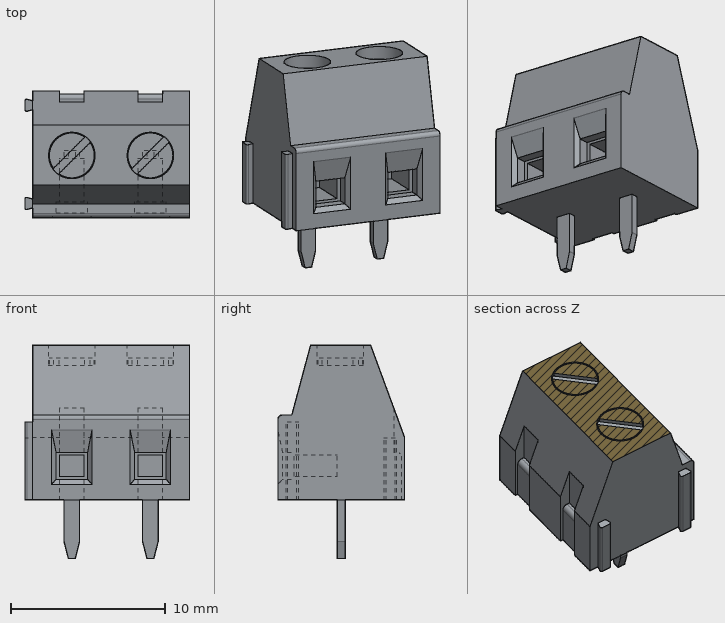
import cadquery as cq
import math


pole_count = 2
pole_pitch = 5.08
pole_centres = [(i + 0.5) * pole_pitch for i in range(pole_count)]

overall_height = 13.8
housing_width = pole_count * pole_pitch
housing_depth = 8.2
housing_height = 10.0
step_height = 5.49
step_depth = 0.9
step_radius = 0.29
roof_front = 2.11
roof_back = 6.0
back_wall_height = 4.05

rail_reach = 0.5
rail_root_width = 0.6
rail_outer_width = 0.87
rail_corner_radius = 0.11
rail_edge_distance = 0.92
rails = [
    (rail_edge_distance, 5.04),
    (housing_depth - rail_edge_distance, 4.0),
]

mouth_width = 2.61
mouth_bottom = 1.01
mouth_top = 4.51
mouth_depth = 0.3
throat_width = 2.04
throat_bottom = 1.32
throat_top = 3.08
throat_end = 1.04
cage_width = 1.57
cage_wall = 0.18
cage_bottom = throat_bottom + cage_wall
cage_top = throat_top - cage_wall

back_slot_depth = 0.7
clamp_recess = 0.2
clamp_radius = 0.33

screw_centre_y = 4.03
screw_hole_radius = 1.5
screw_clearance = 0.05
screw_recess = 0.83
screw_slot_width = 0.5
screw_slot_depth = 0.5
screw_slot_angle = 45

pin_length = overall_height - housing_height
pin_width = 1.02
pin_thickness = 0.52
pin_tip_width = 0.45
pin_tip_length = 1.1
pin_centre_y = housing_depth / 2
cage_end = pin_centre_y - pin_thickness / 2


def box(width, depth, height, x_centre, y_front, z_bottom):
    """Box centred in X on x_centre, starting at y_front and z_bottom."""
    corner = (x_centre - width / 2, y_front, z_bottom)
    return cq.Workplane("XY").box(width, depth, height, centered=False).translate(corner)


def make_housing():
    """Side outline with a rounded front step, run along the row of poles."""
    arc_middle = step_radius * (1 - math.sqrt(0.5))
    return (
        cq.Workplane("YZ")
        .lineTo(0, step_height - step_radius)
        .threePointArc((arc_middle, step_height - arc_middle), (step_radius, step_height))
        .lineTo(step_depth, step_height)
        .lineTo(roof_front, housing_height)
        .lineTo(roof_back, housing_height)
        .lineTo(housing_depth, back_wall_height)
        .lineTo(housing_depth, 0)
        .close()
        .extrude(housing_width)
    )


def make_rail(y_centre, height):
    """Upright dovetail rail with rounded outer corners."""
    half_root = rail_root_width / 2
    half_outer = rail_outer_width / 2
    return (
        cq.Workplane("XY")
        .polyline([
            (0, y_centre - half_root),
            (0, y_centre + half_root),
            (-rail_reach, y_centre + half_outer),
            (-rail_reach, y_centre - half_outer),
        ])
        .close()
        .extrude(height)
        .edges("|Z and <X")
        .fillet(rail_corner_radius)
    )


def make_wire_opening(x_centre):
    """Cutter for the flared mouth, the straight throat and the cage cavity."""
    throat_height = throat_top - throat_bottom
    mouth_middle = (mouth_bottom + mouth_top) / 2
    throat_middle = (throat_bottom + throat_top) / 2
    mouth = (
        cq.Workplane("XZ", origin=(x_centre, 0, mouth_middle))
        .rect(mouth_width, mouth_top - mouth_bottom)
        .workplane(offset=-mouth_depth)
        .center(0, throat_middle - mouth_middle)
        .rect(throat_width, throat_height)
        .loft(ruled=True)
    )
    throat = box(throat_width, throat_end - mouth_depth, throat_height, x_centre, mouth_depth, throat_bottom)
    cage = box(cage_width, cage_end - throat_end, cage_top - cage_bottom, x_centre, throat_end, cage_bottom)
    return mouth.union(throat).union(cage)


def make_back_slot(x_centre):
    """Cutter for a full-height slot in the back wall."""
    return box(cage_width, back_slot_depth, housing_height, x_centre, housing_depth - back_slot_depth, 0)


def make_clamp_back(x_centre):
    """Clamp back in its slot, set in from the back wall, with a rounded top edge."""
    depth = back_slot_depth - clamp_recess
    clamp = box(cage_width, depth, throat_top, x_centre, housing_depth - back_slot_depth, 0)
    return clamp.edges(">Y and >Z").fillet(clamp_radius)


def make_screw_hole(x_centre):
    """Cutter for the round well around a screw head, down to the floor of its slot."""
    well_depth = screw_recess + screw_slot_depth
    return (
        cq.Workplane("XY", origin=(x_centre, screw_centre_y, housing_height))
        .circle(screw_hole_radius)
        .extrude(-well_depth)
    )


def make_screw_head(x_centre):
    """Slotted screw head standing on the floor of its well."""
    head_radius = screw_hole_radius - screw_clearance
    floor = housing_height - screw_recess - screw_slot_depth
    head = cq.Workplane("XY").circle(head_radius).extrude(screw_slot_depth)
    slot = box(2 * screw_hole_radius, screw_slot_width, screw_slot_depth, 0, -screw_slot_width / 2, 0)
    slot = slot.rotate((0, 0, 0), (0, 0, 1), screw_slot_angle)
    return head.cut(slot).translate((x_centre, screw_centre_y, floor))


def make_pin(x_centre):
    """Flat solder pin with a tapered tip."""
    half_width = pin_width / 2
    half_tip = pin_tip_width / 2
    taper_start = pin_tip_length - pin_length
    return (
        cq.Workplane("XZ", origin=(x_centre, pin_centre_y, 0))
        .polyline([
            (-half_width, 0),
            (half_width, 0),
            (half_width, taper_start),
            (half_tip, -pin_length),
            (-half_tip, -pin_length),
            (-half_width, taper_start),
        ])
        .close()
        .extrude(pin_thickness / 2, both=True)
    )


result = make_housing()

for rail_y, rail_height in rails:
    result = result.union(make_rail(rail_y, rail_height))

for pole_x in pole_centres:
    result = result.cut(make_wire_opening(pole_x))
    result = result.cut(make_back_slot(pole_x))
    result = result.cut(make_screw_hole(pole_x))
    result = result.union(make_clamp_back(pole_x))
    result = result.union(make_screw_head(pole_x))
    result = result.union(make_pin(pole_x))